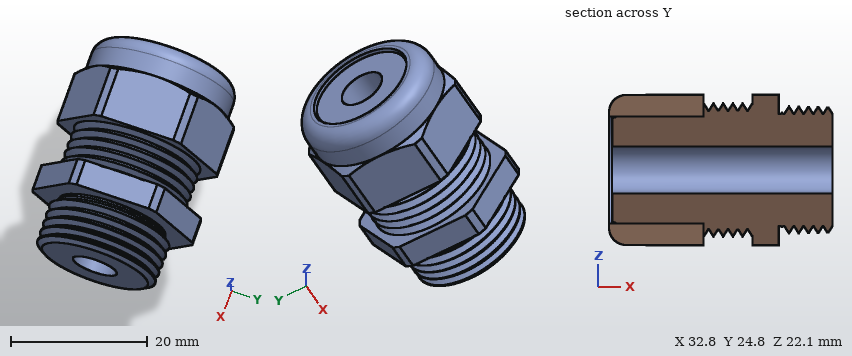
import cadquery as cq
import math


total_length = 32.77
across_flats = 22.1
corner_diameter = 24.75
cable_hole_radius = 3.4

dome_radius = across_flats / 2
dome_fillet = 2.6
nut_hex_start = 5.55
nut_end = 13.9
chamfer_angle = 30.0
cap_bore_radius = 7.83

plug_recess = 0.5
plug_face_radius = 7.65
plug_chamfer_length = 0.65

body_hex_start = 21.0
body_hex_end = 24.9

middle_thread_turns = 5
pitch = (body_hex_start - nut_end) / middle_thread_turns
thread_depth = 1.1
middle_root_radius = 8.7
end_thread_turns = 5
end_root_radius = 8.23
end_thread_start = total_length - end_thread_turns * pitch
first_crest_radius = 9.35
last_crest_radius = 9.18

relief_lip_length = 0.33
relief_lip_height = 0.15


def revolve_about_x(profile):
    """Turn a closed (x, radius) profile about the X axis."""
    return profile.close().revolve(360, (0, 0, 0), (1, 0, 0))


def cylinder(start, end, radius):
    return cq.Workplane("YZ").workplane(offset=start).circle(radius).extrude(end - start)


def hexagon(start, end):
    """Hexagonal prism with flats facing +Z and -Z and its corners turned round."""
    circumscribed_diameter = across_flats / math.cos(math.pi / 6)
    prism = cq.Workplane("YZ").workplane(offset=start).polygon(6, circumscribed_diameter).extrude(end - start)
    return prism.intersect(cylinder(start, end, corner_diameter / 2))


def make_cap_nut():
    corner_radius = corner_diameter / 2
    chamfer_length = (corner_radius - dome_radius) * math.tan(math.radians(chamfer_angle))
    chamfer_envelope = revolve_about_x(
        cq.Workplane("XY")
        .moveTo(nut_hex_start, 0)
        .lineTo(nut_hex_start, dome_radius)
        .lineTo(nut_hex_start + chamfer_length, corner_radius)
        .lineTo(nut_end, corner_radius)
        .lineTo(nut_end, 0)
    )
    grip = hexagon(nut_hex_start, nut_end).intersect(chamfer_envelope)
    dome = cylinder(0, nut_hex_start, dome_radius).faces("<X").edges().fillet(dome_fillet)
    return grip.union(dome).cut(cylinder(0, nut_end, cap_bore_radius))


def make_plug():
    return revolve_about_x(
        cq.Workplane("XY")
        .moveTo(plug_recess, 0)
        .lineTo(plug_recess, plug_face_radius)
        .lineTo(plug_recess + plug_chamfer_length, cap_bore_radius)
        .lineTo(nut_end, cap_bore_radius)
        .lineTo(nut_end, 0)
    )


def make_middle_thread():
    """Thread from the cap nut to the body hexagon, with a crest at each end."""
    crest_radius = middle_root_radius + thread_depth
    profile = cq.Workplane("XY").moveTo(nut_end, 0).lineTo(nut_end, crest_radius)
    for turn in range(middle_thread_turns):
        root = nut_end + (turn + 0.5) * pitch
        profile = profile.lineTo(root, middle_root_radius).lineTo(root + pitch / 2, crest_radius)
    return revolve_about_x(profile.lineTo(body_hex_start, 0))


def make_end_thread():
    """Relief neck that curves up to a lip, then the end thread with a root at each end of the thread."""
    lip = end_thread_start - relief_lip_length
    lip_radius = end_root_radius + relief_lip_height
    neck_length = lip - body_hex_end
    neck_arc_radius = (neck_length**2 + relief_lip_height**2) / (2 * relief_lip_height)
    profile = (
        cq.Workplane("XY")
        .moveTo(body_hex_end, 0)
        .lineTo(body_hex_end, end_root_radius)
        .radiusArc((lip, lip_radius), -neck_arc_radius)
        .lineTo(end_thread_start, end_root_radius)
    )
    for turn in range(end_thread_turns):
        crest = end_thread_start + (turn + 0.5) * pitch
        profile = profile.lineTo(crest, end_root_radius + thread_depth)
        profile = profile.lineTo(crest + pitch / 2, end_root_radius)
    thread = revolve_about_x(profile.lineTo(total_length, 0))

    first_crest = end_thread_start + pitch / 2
    last_crest = total_length - pitch / 2
    taper = (first_crest_radius - last_crest_radius) / (last_crest - first_crest)
    crest_cone = revolve_about_x(
        cq.Workplane("XY")
        .moveTo(body_hex_end, 0)
        .lineTo(body_hex_end, first_crest_radius + taper * (first_crest - body_hex_end))
        .lineTo(total_length, last_crest_radius - taper * (total_length - last_crest))
        .lineTo(total_length, 0)
    )
    return thread.intersect(crest_cone)


def make_gland_body():
    solid = (
        make_plug()
        .union(make_middle_thread())
        .union(hexagon(body_hex_start, body_hex_end))
        .union(make_end_thread())
    )
    return solid.cut(cylinder(plug_recess, total_length, cable_hole_radius))


cap_nut = make_cap_nut()
gland_body = make_gland_body()

result = cq.Compound.makeCompound([cap_nut.val(), gland_body.val()])